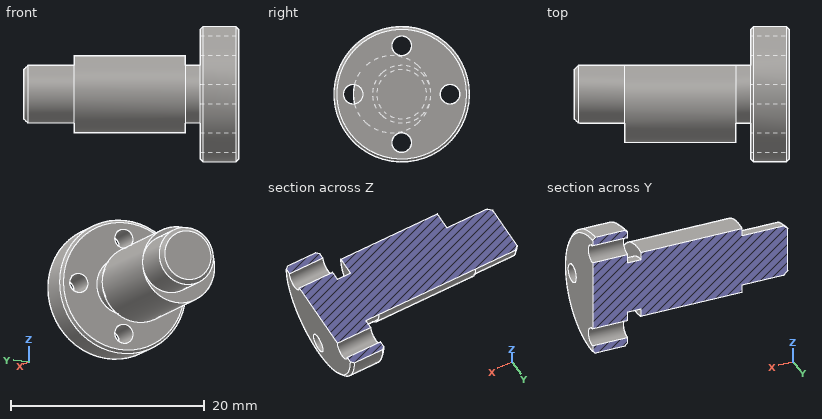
import cadquery as cq

total_length = 22.2
pin_length = 5.2
neck_length = 1.5
flange_thickness = 4.0
cam_length = total_length - pin_length - neck_length - flange_thickness

shaft_diameter = 6.0
cam_diameter = 8.0
flange_diameter = 14.0

cam_offset = (cam_diameter - shaft_diameter) / 2

pin_chamfer = 0.45
flange_chamfer = 0.3

hole_diameter = 2.0
hole_count = 4
hole_circle_radius = 5.0

cam_start = pin_length
flange_start = total_length - flange_thickness


def cylinder_along_x(start, length, diameter, center_y=0.0):
    """Solid cylinder parallel to X, beginning at X = start."""
    plane = cq.Workplane("YZ", origin=(start, center_y, 0))
    return plane.circle(diameter / 2).extrude(length)


def make_shaft():
    """Pin and neck as one shaft, chamfered at the free end."""
    shaft = cylinder_along_x(0, flange_start, shaft_diameter)
    return shaft.faces("<X").chamfer(pin_chamfer)


def make_flange():
    """Flange with both rims chamfered and a ring of through holes."""
    flange = cylinder_along_x(flange_start, flange_thickness, flange_diameter)
    flange = flange.faces("<X or >X").chamfer(flange_chamfer)
    holes = (
        cq.Workplane("YZ", origin=(flange_start, 0, 0))
        .polarArray(hole_circle_radius, 0, 360, hole_count)
        .circle(hole_diameter / 2)
        .extrude(flange_thickness)
    )
    return flange.cut(holes)


cam = cylinder_along_x(cam_start, cam_length, cam_diameter, -cam_offset)

result = make_shaft().union(cam).union(make_flange())